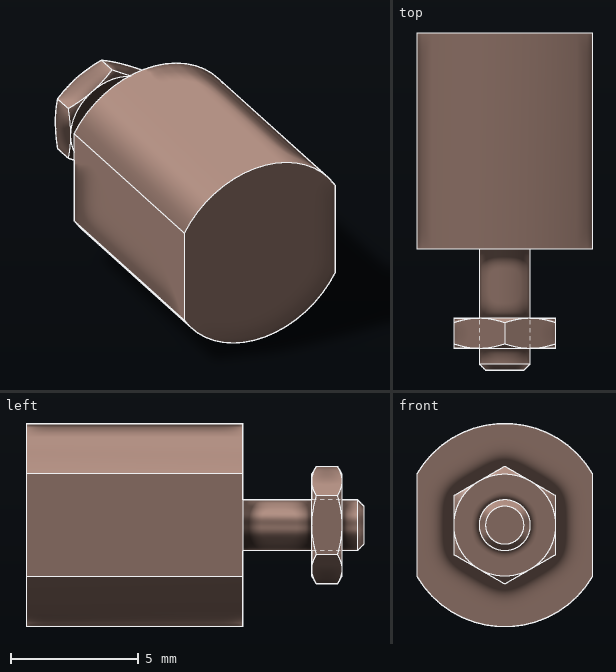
import cadquery as cq
import math

total_length = 13.26
body_length = 8.5
body_diameter = 8.0
body_width = 6.9

stud_diameter = 2.0
stud_length = total_length - body_length
tip_chamfer = 0.25

nut_width = 4.0
nut_thickness = 1.2
nut_gap = 2.7
nut_chamfer_angle = 30.0


def rod(diameter, start, length):
    """Cylinder on the Y axis that runs from Y = start toward -Y."""
    return cq.Workplane("XZ", origin=(0, start, 0)).circle(diameter / 2).extrude(length)


def make_bumper():
    """Round body with two side flats and a stud with a chamfered tip."""
    flats = cq.Workplane("XY").box(body_width, 2 * body_length, body_diameter)
    body = rod(body_diameter, body_length, body_length).intersect(flats)
    stud = rod(stud_diameter, 0, stud_length).faces("<Y").chamfer(tip_chamfer)
    return body.union(stud)


def make_nut():
    """Hexagon nut with corners on Z, both ends chamfered, bored to fit the stud."""
    corner_diameter = nut_width / math.cos(math.radians(30))
    corner_inset = (corner_diameter - nut_width) / 2
    corner_drop = corner_inset * math.tan(math.radians(nut_chamfer_angle))

    hexagon = (
        cq.Workplane("XZ", origin=(0, -nut_gap, 0))
        .transformed(rotate=(0, 0, 90))
        .polygon(6, corner_diameter)
        .extrude(nut_thickness)
    )
    chamfered_disc = (
        rod(corner_diameter, -nut_gap, nut_thickness)
        .faces("<Y or >Y")
        .edges()
        .chamfer(corner_drop, corner_inset)
    )
    bore = rod(stud_diameter, -nut_gap, nut_thickness)
    return hexagon.intersect(chamfered_disc).cut(bore)


bumper = make_bumper()
nut = make_nut()

result = cq.Compound.makeCompound([bumper.val(), nut.val()])